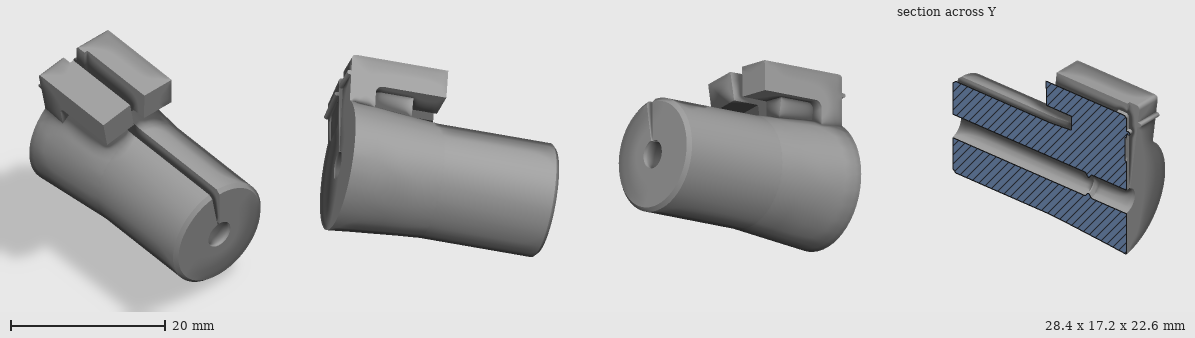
import cadquery as cq
import math

SHANK_RADIUS = 7.5
CONE_LENGTH = 12.3
CONE_ANGLE = 5.0
BODY_LENGTH = 27.85
REAR_CHAMFER = 0.5
FRONT_RADIUS = SHANK_RADIUS + CONE_LENGTH * math.tan(math.radians(CONE_ANGLE))

BORE_RADIUS = 1.88
COLLAR_RADIUS = 1.28
COLLAR_START = 5.6
COLLAR_LENGTH = 1.0
COLLAR_RAMP = 0.4

SLIT_ANGLE = 10.0

JAW_LENGTH = 12.93
JAW_WIDTH = 4.65
JAW_HEIGHT = 14.0
JAW_FRONT_ROUND = 0.55
JAW_REAR_DRAFT = 1.0

UNDERCUT_TOP = 10.0
UNDERCUT_START = 3.42
UNDERCUT_ROUND = 1.0
WEB_END = 8.87
WEB_DRAFT = 10.0
WEB_TOP_WIDTH = 3.05

TONGUE_LENGTH = 1.6
TONGUE_WIDTH = 0.53

RIB_DEPTH = 0.55
RIB_HEIGHT = 0.6
RIB_BOTTOM = 11.0

POCKET_SIZE = 4.1
POCKET_ROUND = 0.7
POCKET_DEPTH = 0.2
POCKET_Y = 1.81
POCKET_Z = 8.52


def box(x0, x1, y0, y1, z0, z1):
    """Axis-aligned box between two opposite corners."""
    return cq.Workplane("XY").box(x1 - x0, y1 - y0, z1 - z0, centered=False).translate((x0, y0, z0))


def lean(shape):
    """Turn a shape about the X axis so that its top leans toward -Y."""
    return shape.rotate((0, 0, 0), (1, 0, 0), SLIT_ANGLE)


def mirrored(shape):
    return shape.mirror("XZ")


def make_body():
    rear_radius = SHANK_RADIUS - REAR_CHAMFER
    profile = [
        (0, 0),
        (0, FRONT_RADIUS),
        (CONE_LENGTH, SHANK_RADIUS),
        (BODY_LENGTH - REAR_CHAMFER, SHANK_RADIUS),
        (BODY_LENGTH, rear_radius),
        (BODY_LENGTH, 0),
    ]
    return cq.Workplane("XY").polyline(profile).close().revolve(360, (0, 0, 0), (1, 0, 0))


def make_bore():
    collar_end = COLLAR_START + COLLAR_LENGTH
    profile = [
        (0, 0),
        (0, BORE_RADIUS),
        (COLLAR_START, BORE_RADIUS),
        (COLLAR_START + COLLAR_RAMP, COLLAR_RADIUS),
        (collar_end - COLLAR_RAMP, COLLAR_RADIUS),
        (collar_end, BORE_RADIUS),
        (BODY_LENGTH, BORE_RADIUS),
        (BODY_LENGTH, 0),
    ]
    return cq.Workplane("XY").polyline(profile).close().revolve(360, (0, 0, 0), (1, 0, 0))


def side_plate(outline, y0, y1):
    """Extrude an XZ outline from y0 to y1."""
    return outline.extrude(-(y1 - y0)).translate((0, y0, 0))


def front_round(y0, y1):
    """Material to remove above the rounded top front edge of a jaw."""
    r = JAW_FRONT_ROUND
    outline = (
        cq.Workplane("XZ")
        .moveTo(0, JAW_HEIGHT - r)
        .radiusArc((r, JAW_HEIGHT), r)
        .lineTo(0, JAW_HEIGHT)
        .close()
    )
    return side_plate(outline, y0, y1)


def make_rib(y0, y1):
    """Rib with a half-round nose on the front face."""
    r = RIB_HEIGHT / 2
    rib_top = RIB_BOTTOM + RIB_HEIGHT
    outline = (
        cq.Workplane("XZ")
        .moveTo(0, RIB_BOTTOM)
        .lineTo(r - RIB_DEPTH, RIB_BOTTOM)
        .threePointArc((-RIB_DEPTH, RIB_BOTTOM + r), (r - RIB_DEPTH, rib_top))
        .lineTo(0, rib_top)
        .close()
    )
    return side_plate(outline, y0, y1)


def make_jaw():
    """Upright jaw on the +Y side of the slit, down to the axis."""
    rear_foot = JAW_LENGTH - JAW_HEIGHT * math.tan(math.radians(JAW_REAR_DRAFT))
    blank = (
        cq.Workplane("XZ")
        .polyline([(0, 0), (rear_foot, 0), (JAW_LENGTH, JAW_HEIGHT), (0, JAW_HEIGHT)])
        .close()
    )
    jaw = side_plate(blank, 0, JAW_WIDTH)

    undercut_outline = (
        cq.Workplane("XZ")
        .moveTo(UNDERCUT_START, 0)
        .lineTo(UNDERCUT_START, UNDERCUT_TOP - UNDERCUT_ROUND)
        .radiusArc((UNDERCUT_START + UNDERCUT_ROUND, UNDERCUT_TOP), UNDERCUT_ROUND)
        .lineTo(JAW_LENGTH, UNDERCUT_TOP)
        .lineTo(JAW_LENGTH, 0)
        .close()
    )
    undercut = side_plate(undercut_outline, 0, JAW_WIDTH)

    web_foot_width = WEB_TOP_WIDTH - UNDERCUT_TOP * math.tan(math.radians(WEB_DRAFT))
    web = (
        cq.Workplane("YZ")
        .polyline([(0, 0), (web_foot_width, 0), (WEB_TOP_WIDTH, UNDERCUT_TOP), (0, UNDERCUT_TOP)])
        .close()
        .extrude(WEB_END)
    )
    return jaw.cut(undercut.cut(web)).cut(front_round(0, JAW_WIDTH))


def make_slit():
    """Wedge between the two jaws with its tip on the axis."""
    reach = JAW_HEIGHT + JAW_WIDTH
    lean_offset = reach * math.tan(math.radians(SLIT_ANGLE))
    return (
        cq.Workplane("YZ")
        .polyline([(0, 0), (0, reach), (-lean_offset, reach)])
        .close()
        .extrude(BODY_LENGTH)
    )


def make_tongue():
    tongue = box(0, TONGUE_LENGTH, -TONGUE_WIDTH, 0, 0, JAW_HEIGHT)
    return tongue.cut(front_round(-TONGUE_WIDTH, 0))


def make_notch():
    return lean(box(0, TONGUE_LENGTH, -TONGUE_WIDTH, 0, 0, JAW_HEIGHT))


def make_label_pocket():
    pocket = box(
        0, POCKET_DEPTH,
        POCKET_Y - POCKET_SIZE / 2, POCKET_Y + POCKET_SIZE / 2,
        POCKET_Z - POCKET_SIZE / 2, POCKET_Z + POCKET_SIZE / 2,
    )
    return pocket.edges("|X").fillet(POCKET_ROUND)


upright_jaw = make_jaw()
leaning_jaw = lean(mirrored(upright_jaw))

result = make_body().union(upright_jaw).union(leaning_jaw)
result = result.cut(make_slit()).cut(make_notch())
result = result.union(make_tongue()).cut(make_bore())
result = result.union(make_rib(-TONGUE_WIDTH, JAW_WIDTH))
result = result.union(lean(make_rib(-JAW_WIDTH, -TONGUE_WIDTH)))
result = result.cut(make_label_pocket())